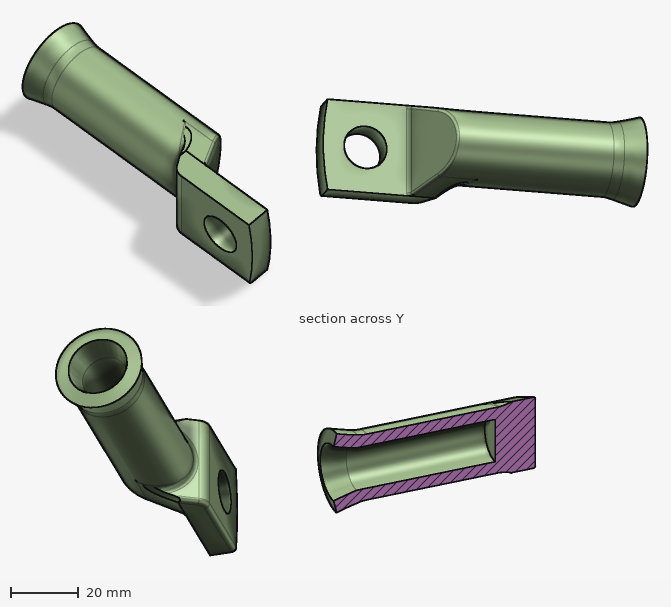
import cadquery as cq
import math

length = 94.9
palm_width = 28.0
palm_top = -6.5
palm_bottom = -14.4
barrel_radius = 11.1
slope = math.radians(60)

flare_radius = 13.3
mouth_radius = 9.0
bore_radius = 7.0
bore_depth = 52.2
rim_length = 1.0
flare_angle = math.radians(15)
flare_blend_radius = 12.0

front_top_x = 58.6
bend_end_x = 66.2
bend_radius = 4.3
waist_start_x = 53.15
waist_radius = 11.2
neck_radius = 1.9
slope_edge_radius = 0.95
foot_radius = 1.4

neck_start_x = 50.5
void_clearance = 0.3

bolt_x = 82.0
bolt_diameter = 13.0
end_bow = 1.3
edge_radius = 1.5


def slope_x(start_x, start_y, y):
    """X reached at height y by a slope through (start_x, start_y)."""
    return start_x + (start_y - y) / math.tan(slope)


half_width = palm_width / 2

corner_reach = math.hypot(palm_top, half_width)
tangent_angle = math.atan2(half_width, palm_top) - math.acos(barrel_radius / corner_reach)
tangent_y = barrel_radius * math.cos(tangent_angle)
tangent_z = barrel_radius * math.sin(tangent_angle)
front_foot_x = slope_x(front_top_x, barrel_radius, palm_top)


def barrel():
    """Solid flared barrel, ending where the palm section starts."""
    cone_end_radius = barrel_radius + flare_blend_radius * (1 - math.cos(flare_angle))
    cone_end_x = rim_length + (flare_radius - cone_end_radius) / math.tan(flare_angle)
    blend_end_x = cone_end_x + flare_blend_radius * math.sin(flare_angle)
    half_angle = flare_angle / 2
    blend_mid = (
        blend_end_x - flare_blend_radius * math.sin(half_angle),
        barrel_radius + flare_blend_radius * (1 - math.cos(half_angle)),
    )
    return (
        cq.Workplane("XY")
        .moveTo(0, 0)
        .lineTo(0, mouth_radius)
        .lineTo(rim_length, flare_radius)
        .lineTo(cone_end_x, cone_end_radius)
        .threePointArc(blend_mid, (blend_end_x, barrel_radius))
        .lineTo(neck_start_x, barrel_radius)
        .lineTo(neck_start_x, 0)
        .close()
        .revolve(360, (0, 0, 0), (1, 0, 0))
    )


def lug_bar():
    """Bar whose section is the upper barrel, flanks tangent to it and the square palm."""
    section = (
        cq.Workplane("YZ")
        .workplane(offset=neck_start_x)
        .moveTo(tangent_y, -tangent_z)
        .lineTo(palm_top, -half_width)
        .lineTo(palm_bottom, -half_width)
        .lineTo(palm_bottom, half_width)
        .lineTo(palm_top, half_width)
        .lineTo(tangent_y, tangent_z)
        .threePointArc((barrel_radius, 0), (tangent_y, -tangent_z))
        .close()
        .extrude(length - neck_start_x)
    )
    front = (
        cq.Workplane("XY")
        .polyline([
            (front_foot_x, palm_top),
            (slope_x(front_top_x, barrel_radius, flare_radius), flare_radius),
            (length, flare_radius),
            (length, palm_top),
        ])
        .close()
        .extrude(palm_width, both=True)
    )
    bar = section.cut(front)
    front_edges = cq.selectors.BoxSelector(
        (front_top_x - slope_edge_radius, palm_top + foot_radius, -half_width),
        (front_foot_x, flare_radius, half_width),
    )
    bar = bar.edges("not(|X or |Z)").edges(front_edges).fillet(slope_edge_radius)
    foot_edge = cq.selectors.NearestToPointSelector((front_foot_x, palm_top, 0))
    return bar.edges("|Z").edges(foot_edge).fillet(foot_radius)


def rear_void():
    """Space around the barrel behind the palm, with rounded corners at the barrel and the palm."""
    bend_x = bend_end_x - bend_radius * math.sin(slope)
    bend_y = palm_bottom + bend_radius * (1 - math.cos(slope))
    bend_mid = (
        bend_end_x - bend_radius * math.sin(slope / 2),
        palm_bottom + bend_radius * (1 - math.cos(slope / 2)),
    )
    space = (
        cq.Workplane("XY")
        .moveTo(slope_x(bend_x, bend_y, palm_width), palm_width)
        .lineTo(bend_x, bend_y)
        .threePointArc(bend_mid, (bend_end_x, palm_bottom))
        .lineTo(bend_end_x, -palm_width)
        .lineTo(0, -palm_width)
        .lineTo(0, palm_width)
        .close()
        .extrude(palm_width, both=True)
    )
    core = cq.Workplane("YZ").circle(barrel_radius).extrude(length)
    lower_half = cq.Workplane("XY").box(length, 2 * palm_width, 4 * palm_width)
    lower_half = lower_half.translate((length / 2, tangent_y - void_clearance - palm_width, 0))
    return space.cut(core).edges("%ELLIPSE").fillet(neck_radius).intersect(lower_half)


def palm_outline():
    """Elevation of the lug across the palm width, with the bowed palm end."""
    return (
        cq.Workplane("XZ")
        .moveTo(0, -half_width)
        .lineTo(length - end_bow, -half_width)
        .threePointArc((length, 0), (length - end_bow, half_width))
        .lineTo(0, half_width)
        .close()
        .extrude(palm_width, both=True)
    )


def waist_scoop(side):
    """Concave scoop, tangent to the barrel, on the flank at side = +1 or -1."""
    return (
        cq.Workplane("XZ")
        .center(waist_start_x, side * (barrel_radius + waist_radius))
        .circle(waist_radius)
        .extrude(palm_width, both=True)
    )


def socket():
    """Blind bore with a tapered mouth."""
    taper_length = (mouth_radius - bore_radius) / math.tan(flare_angle)
    return (
        cq.Workplane("XY")
        .polyline([
            (0, 0),
            (0, mouth_radius),
            (taper_length, bore_radius),
            (bore_depth, bore_radius),
            (bore_depth, 0),
        ])
        .close()
        .revolve(360, (0, 0, 0), (1, 0, 0))
    )


def bolt_hole():
    """Through hole in the palm."""
    return (
        cq.Workplane("XZ")
        .center(bolt_x, 0)
        .circle(bolt_diameter / 2)
        .extrude(palm_width, both=True)
    )


neck = lug_bar().intersect(palm_outline()).cut(rear_void())
neck = neck.edges("|X and <Y and <Z").fillet(edge_radius)
for side in (1, -1):
    neck = neck.cut(waist_scoop(side))

result = barrel().union(neck).cut(socket()).cut(bolt_hole())